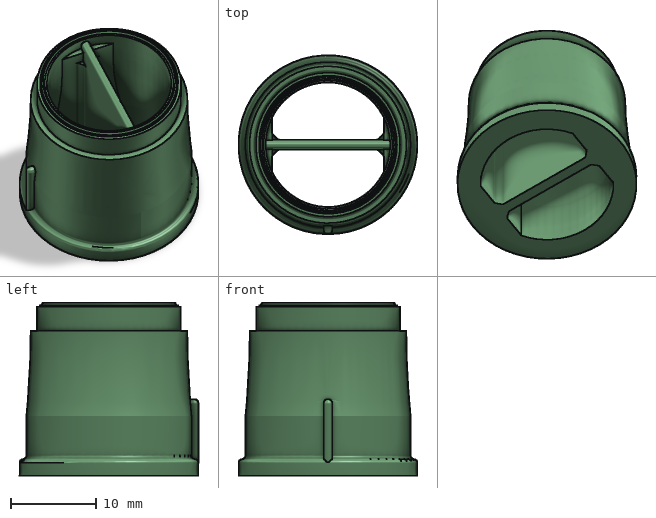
import cadquery as cq
import math

flange_radius = 10.5
flange_top = 1.95
flange_round = 0.45
root_fillet = 0.45
skirt_radius = 9.7
skirt_top = 7.0
waist_top_radius = 9.2
waist_top = 17.0
neck_radius = 8.45
neck_top = 19.85

rim_step_radius = 8.1
rim_step_top = 20.0
rim_foot_radius = 7.95
rim_crest_radius = 7.75
rim_top = 20.3
rim_ledge_radius = 7.55
rim_ledge_top = 20.0

bore_radius = 7.3
bore_bottom = 16.0
cavity_radius = skirt_radius - (waist_top_radius - bore_radius)

bar_half_width = 0.5
bar_top = 19.5
web_top = 17.0
web_half_width = 0.6
block_face = 6.55
block_top = 18.5
gusset_leg = 0.7
gusset_blend = 0.4

rib_radius = 0.5
rib_top = 9.0
rib_root_depth = 1.0


def flare_midpoint(top_radius, top, foot_radius, foot):
    """Half-way-up point of an arc that leaves (top_radius, top) vertically and ends at the foot."""
    flare = foot_radius - top_radius
    height = top - foot
    arc_radius = (height**2 + flare**2) / (2 * flare)
    sag = arc_radius - math.sqrt(arc_radius**2 - (height / 2) ** 2)
    return (top_radius + sag, top - height / 2)


def point_on_circle(center, radius, angle):
    return (center[0] + radius * math.cos(angle), center[1] + radius * math.sin(angle))


def make_shell():
    """Revolved wall, with an S-shaped transition where the skirt meets the flange."""
    round_center = (flange_radius - flange_round, flange_top - flange_round)
    root_radius = skirt_radius + root_fillet
    blend_angle = math.acos((root_radius - round_center[0]) / (flange_round + root_fillet))
    root_center = point_on_circle(round_center, flange_round + root_fillet, blend_angle)
    blend_point = point_on_circle(round_center, flange_round, blend_angle)
    round_middle = point_on_circle(round_center, flange_round, blend_angle / 2)
    root_middle = point_on_circle(root_center, root_fillet, math.pi + blend_angle / 2)

    profile = (
        cq.Workplane("XZ")
        .moveTo(cavity_radius, 0)
        .lineTo(flange_radius, 0)
        .lineTo(flange_radius, round_center[1])
        .threePointArc(round_middle, blend_point)
        .threePointArc(root_middle, (skirt_radius, root_center[1]))
        .lineTo(skirt_radius, skirt_top)
        .threePointArc(
            flare_midpoint(waist_top_radius, waist_top, skirt_radius, skirt_top),
            (waist_top_radius, waist_top),
        )
        .lineTo(neck_radius, waist_top)
        .lineTo(neck_radius, neck_top)
        .lineTo(rim_step_radius, neck_top)
        .lineTo(rim_step_radius, rim_step_top)
        .lineTo(rim_foot_radius, rim_step_top)
        .lineTo(rim_crest_radius, rim_top)
        .lineTo(rim_ledge_radius, rim_ledge_top)
        .lineTo(bore_radius, rim_ledge_top)
        .lineTo(bore_radius, bore_bottom)
        .threePointArc(
            flare_midpoint(bore_radius, bore_bottom, cavity_radius, skirt_top),
            (cavity_radius, skirt_top),
        )
        .close()
    )
    return profile.revolve(360, (0, 0, 0), (0, 1, 0))


def make_bar():
    """Round-topped bar whose sides flare slightly down to a straight web."""
    round_base = bar_top - bar_half_width
    return (
        cq.Workplane("YZ")
        .moveTo(-web_half_width, 0)
        .lineTo(web_half_width, 0)
        .lineTo(web_half_width, web_top)
        .lineTo(bar_half_width, round_base)
        .threePointArc((0, bar_top), (-bar_half_width, round_base))
        .lineTo(-web_half_width, web_top)
        .close()
        .extrude(bore_radius, both=True)
    )


def make_end_block(side):
    """Chordal block filling the wall behind a flat face at one end of the bar."""
    depth = skirt_radius - block_face
    slab = cq.Workplane("XY").box(depth, 2 * skirt_radius, block_top, centered=(True, True, False))
    slab = slab.translate((side * (block_face + depth / 2), 0, 0))
    wall_middle_radius = (bore_radius + neck_radius) / 2
    return slab.intersect(cq.Workplane("XY").circle(wall_middle_radius).extrude(block_top))


def make_gussets(side):
    """Pair of 45-degree corner webs between the web and one end block, blended into both."""
    tip = block_face - gusset_leg
    reach = web_half_width + gusset_leg
    tangent = gusset_blend * math.tan(math.pi / 8)
    margin = 2 * tangent
    outline = [
        (tip - margin, 0),
        (tip - margin, web_half_width),
        (tip, web_half_width),
        (block_face, reach),
        (block_face, reach + margin),
        (bore_radius, reach + margin),
        (bore_radius, 0),
    ]
    gusset = cq.Workplane("XY").polyline([(side * x, y) for x, y in outline]).close().extrude(web_top)
    for x, y in ((tip, web_half_width), (block_face, reach)):
        corner = cq.selectors.NearestToPointSelector((side * x, y, web_top / 2))
        gusset = gusset.edges("|Z").edges(corner).fillet(gusset_blend)
    return gusset.union(gusset.mirror("XZ"))


def make_rib():
    """Vertical half-round rib, domed at the top, standing against the skirt."""
    rib_axis_y = -(flange_radius - rib_radius)
    straight_top = rib_top - rib_radius
    column = cq.Workplane("XY").center(0, rib_axis_y).circle(rib_radius).extrude(straight_top)
    dome = cq.Workplane("XY").sphere(rib_radius).translate((0, rib_axis_y, straight_top))
    root = (
        cq.Workplane("XZ", origin=(0, rib_axis_y, 0))
        .moveTo(-rib_radius, 0)
        .lineTo(rib_radius, 0)
        .lineTo(rib_radius, straight_top)
        .threePointArc((0, rib_top), (-rib_radius, straight_top))
        .close()
        .extrude(-rib_root_depth)
    )
    return root.union(column).union(dome)


result = make_shell().union(make_rib()).union(make_bar())
for side in (-1, 1):
    result = result.union(make_end_block(side)).union(make_gussets(side))